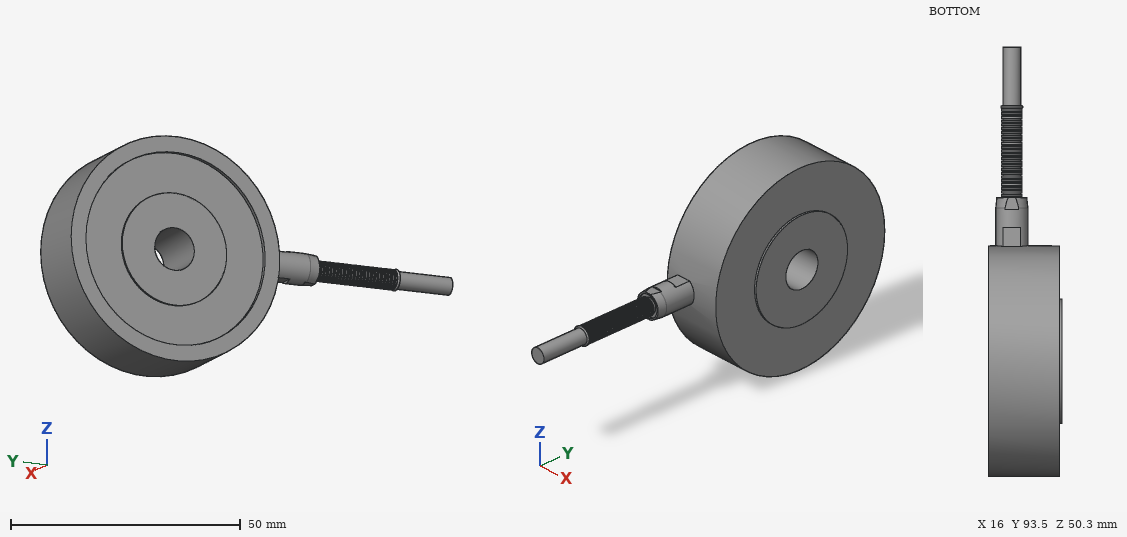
import cadquery as cq

body_diameter = 50.29
body_width = 15.49
overall_width = 16.0
overall_length = 93.46
bore_diameter = 9.53
load_face_diameter = 27.18

recess_diameter = 43.18
recess_depth = 1.02
hub_diameter = 25.15
hub_setback = 0.51

outlet_x = 5.08
outlet_root = 22.0
gland_diameter = 7.06
wrench_flat_distance = 5.95
wrench_flat_end = 29.05
crimp_start = 33.3
crimp_end_diameter = 6.6
crimp_flat_distance = 6.4
crimp_flat_start = 32.95
gland_end = 35.6
seat_diameter = 5.79
seat_depth = 0.5

cable_diameter = 3.94
cable_end = overall_length - body_diameter / 2
spring_diameter = 4.52
spring_pitch = 0.81
coil_count = 24
coil_gap = 0.26
coil_chamfer = 0.1
end_ring_diameter = 4.8
end_ring_width = 0.5


def disc(diameter, x_start, x_end):
    """Cylinder about the X axis."""
    return cq.Workplane("YZ", origin=(x_start, 0, 0)).circle(diameter / 2).extrude(x_end - x_start)


def outlet_cylinder(diameter, start, end):
    """Cylinder about the outlet axis, between two distances from the body axis."""
    plane = cq.Workplane("XZ", origin=(outlet_x, -start, 0))
    return plane.circle(diameter / 2).extrude(end - start)


def make_body():
    """Ring body with its raised right face and recessed left face; the bore is cut last."""
    body = disc(body_diameter, 0, body_width)
    body = body.union(disc(load_face_diameter, body_width, overall_width))
    recess = disc(recess_diameter, 0, recess_depth).cut(disc(hub_diameter, hub_setback, recess_depth))
    return body.cut(recess)


def cut_flat_pair(gland, across, start, end):
    """Cut two flats, facing +Z and -Z, into a length of the gland."""
    band = cq.Workplane("XY").box(gland_diameter, end - start, gland_diameter)
    kept = cq.Workplane("XY").box(gland_diameter, end - start, across)
    cutter = band.cut(kept).translate((outlet_x, -(start + end) / 2, 0))
    return gland.cut(cutter)


def make_gland():
    """Turned cable gland with wrench flats, a tapered crimp end and a spring seat."""
    profile = [
        (0, -outlet_root),
        (gland_diameter / 2, -outlet_root),
        (gland_diameter / 2, -crimp_start),
        (crimp_end_diameter / 2, -gland_end),
        (0, -gland_end),
    ]
    gland = cq.Workplane("XY").polyline(profile).close().revolve(360, (0, 0), (0, 1))
    gland = gland.translate((outlet_x, 0, 0))
    gland = cut_flat_pair(gland, wrench_flat_distance, outlet_root, wrench_flat_end)
    gland = cut_flat_pair(gland, crimp_flat_distance, crimp_flat_start, gland_end)
    return gland.cut(outlet_cylinder(seat_diameter, gland_end - seat_depth, gland_end))


def make_coil(start):
    """One spring coil, modelled as a ring with chamfered outer corners."""
    coil = outlet_cylinder(spring_diameter, start, start + spring_pitch - coil_gap)
    return coil.faces("|Y").edges().chamfer(coil_chamfer)


def make_end_ring(start):
    """Ring with a rounded crest that closes the spring."""
    end = start + end_ring_width
    crest = (end_ring_diameter / 2, -(start + end) / 2)
    ring = cq.Workplane("XY").moveTo(0, -start).lineTo(cable_diameter / 2, -start)
    ring = ring.threePointArc(crest, (cable_diameter / 2, -end)).lineTo(0, -end).close()
    return ring.revolve(360, (0, 0), (0, 1)).translate((outlet_x, 0, 0))


def make_cable():
    """Cable with its row of spring coils and the end ring."""
    cable = outlet_cylinder(cable_diameter, outlet_root, cable_end)
    for index in range(coil_count):
        cable = cable.union(make_coil(gland_end + index * spring_pitch + coil_gap / 2))
    return cable.union(make_end_ring(gland_end + coil_count * spring_pitch))


result = make_body().union(make_gland()).union(make_cable())
result = result.cut(disc(bore_diameter, 0, overall_width))